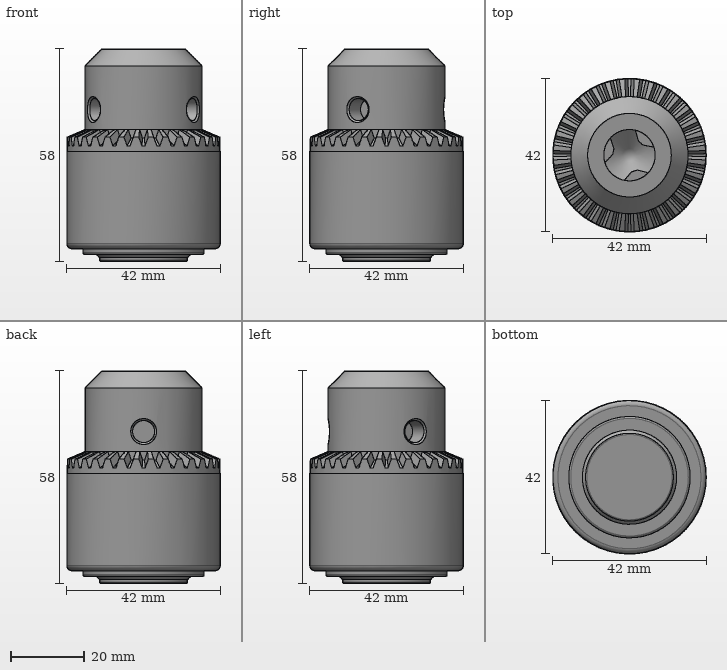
import cadquery as cq
import math

TOTAL_HEIGHT = 58.0

BODY_RADIUS = 16.0
SPIGOT_RADIUS = 14.0
NOSE_CHAMFER = 4.6
BORE_RADIUS = 7.0
BORE_DEPTH = 29.0
BORE_POINT_ANGLE = 118.0

FLANGE_RADIUS = 16.6
FLANGE_BOTTOM = 1.85
FLANGE_FILLET = 0.5
COLLAR_RADIUS = 12.0
COLLAR_TOP = 1.0
COLLAR_FILLET = 0.35

KEY_HOLE_COUNT = 3
KEY_HOLE_FIRST_ANGLE = 90.0
KEY_HOLE_HEIGHT = 41.45
KEY_HOLE_RADIUS = 3.0
KEY_HOLE_FLOOR_RADIUS = 9.0
KEY_HOLE_CHAMFER = 0.5

SLEEVE_RADIUS = 21.0
SLEEVE_BOTTOM = 3.4
SLEEVE_FILLET = 1.45
SLEEVE_SHOULDER = 30.05
GEAR_RADIUS = 20.9
GEAR_RIM_HEIGHT = 33.95
GEAR_TOP = 36.0
TOOTH_COUNT = 32
TOOTH_GAP_DEPTH = 2.4
OUTER_GAP_WIDTH = 2.6
OUTER_GAP_FLOOR = 0.8
INNER_GAP_WIDTH = 2.15
INNER_GAP_FLOOR = 0.5

JAW_COUNT = 3
JAW_FIRST_ANGLE = 47.5
JAW_WIDTH = 6.4
JAW_SIDE_LENGTH = 0.3
JAW_TIP_WIDTH = 1.6
JAW_TIP_FILLET = 1.0
JAW_TIP_RADIUS = 4.5


def cut_key_hole(body, angle):
    """Blind radial hole with a flat floor, chamfered evenly round its mouth."""
    axis = cq.Vector(math.cos(math.radians(angle)), math.sin(math.radians(angle)), 0)
    floor_center = axis * KEY_HOLE_FLOOR_RADIUS + cq.Vector(0, 0, KEY_HOLE_HEIGHT)
    mouth_center = axis * BODY_RADIUS + cq.Vector(0, 0, KEY_HOLE_HEIGHT)
    hole = cq.Solid.makeCylinder(KEY_HOLE_RADIUS, BODY_RADIUS, floor_center, axis)
    drilled = body.cut(cq.Workplane(hole))
    mouth = drilled.edges(cq.selectors.NearestToPointSelector(mouth_center.toTuple()))
    return mouth.chamfer(KEY_HOLE_CHAMFER)


def make_body():
    bore_floor = TOTAL_HEIGHT - BORE_DEPTH
    bore_point = bore_floor - BORE_RADIUS / math.tan(math.radians(BORE_POINT_ANGLE / 2))
    body = (
        cq.Workplane("XZ")
        .moveTo(0, SLEEVE_BOTTOM)
        .lineTo(SPIGOT_RADIUS, SLEEVE_BOTTOM)
        .lineTo(SPIGOT_RADIUS, GEAR_TOP)
        .lineTo(BODY_RADIUS, GEAR_TOP)
        .lineTo(BODY_RADIUS, TOTAL_HEIGHT - NOSE_CHAMFER)
        .lineTo(BODY_RADIUS - NOSE_CHAMFER, TOTAL_HEIGHT)
        .lineTo(BORE_RADIUS, TOTAL_HEIGHT)
        .lineTo(BORE_RADIUS, bore_floor)
        .lineTo(0, bore_point)
        .close()
        .revolve(360, (0, 0, 0), (0, 1, 0))
    )
    for i in range(KEY_HOLE_COUNT):
        body = cut_key_hole(body, KEY_HOLE_FIRST_ANGLE + i * 360 / KEY_HOLE_COUNT)
    return body


def make_end_cap():
    """Flange that closes the sleeve, flaring at 45 degrees from the rear collar."""
    neck_radius = COLLAR_RADIUS + FLANGE_BOTTOM - COLLAR_TOP
    return (
        cq.Workplane("XZ")
        .lineTo(COLLAR_RADIUS - COLLAR_FILLET, 0)
        .radiusArc((COLLAR_RADIUS, COLLAR_FILLET), -COLLAR_FILLET)
        .lineTo(COLLAR_RADIUS, COLLAR_TOP)
        .lineTo(neck_radius, FLANGE_BOTTOM)
        .lineTo(FLANGE_RADIUS - FLANGE_FILLET, FLANGE_BOTTOM)
        .radiusArc((FLANGE_RADIUS, FLANGE_BOTTOM + FLANGE_FILLET), -FLANGE_FILLET)
        .lineTo(FLANGE_RADIUS, SLEEVE_BOTTOM)
        .lineTo(0, SLEEVE_BOTTOM)
        .close()
        .revolve(360, (0, 0, 0), (0, 1, 0))
    )


TIP_SLOPE = (GEAR_TOP - GEAR_RIM_HEIGHT) / (GEAR_RADIUS - BODY_RADIUS)


def gap_section(radius, width, floor_width):
    """Trapezoid across a tooth gap at the given radius, open above the tooth tips."""
    tip = GEAR_TOP - (radius - BODY_RADIUS) * TIP_SLOPE
    floor = tip - TOOTH_GAP_DEPTH
    top = tip + TOOTH_GAP_DEPTH
    top_width = 2 * width - floor_width
    points = [
        cq.Vector(radius, -floor_width / 2, floor),
        cq.Vector(radius, floor_width / 2, floor),
        cq.Vector(radius, top_width / 2, top),
        cq.Vector(radius, -top_width / 2, top),
    ]
    return cq.Wire.makePolygon(points, close=True)


def make_tooth_gap():
    """Tool for one gap: runs out past the rim and ends in a round wall below the nose."""
    overrun = 0.1
    length = GEAR_RADIUS - BODY_RADIUS
    width_step = overrun * (OUTER_GAP_WIDTH - INNER_GAP_WIDTH)
    floor_step = overrun * (OUTER_GAP_FLOOR - INNER_GAP_FLOOR)
    inner = gap_section(BODY_RADIUS - overrun * length, INNER_GAP_WIDTH - width_step,
                        INNER_GAP_FLOOR - floor_step)
    outer = gap_section(GEAR_RADIUS + overrun * length, OUTER_GAP_WIDTH + width_step,
                        OUTER_GAP_FLOOR + floor_step)
    core = cq.Workplane("XY").circle(BODY_RADIUS).extrude(TOTAL_HEIGHT)
    return cq.Workplane(cq.Solid.makeLoft([inner, outer], True)).cut(core)


def make_sleeve():
    sleeve = (
        cq.Workplane("XZ")
        .moveTo(SPIGOT_RADIUS, SLEEVE_BOTTOM)
        .lineTo(SLEEVE_RADIUS - SLEEVE_FILLET, SLEEVE_BOTTOM)
        .radiusArc((SLEEVE_RADIUS, SLEEVE_BOTTOM + SLEEVE_FILLET), -SLEEVE_FILLET)
        .lineTo(SLEEVE_RADIUS, SLEEVE_SHOULDER)
        .lineTo(GEAR_RADIUS, SLEEVE_SHOULDER)
        .lineTo(GEAR_RADIUS, GEAR_RIM_HEIGHT)
        .lineTo(BODY_RADIUS, GEAR_TOP)
        .lineTo(SPIGOT_RADIUS, GEAR_TOP)
        .close()
        .revolve(360, (0, 0, 0), (0, 1, 0))
    )
    gap = make_tooth_gap()
    for i in range(TOOTH_COUNT):
        sleeve = sleeve.cut(gap.rotate((0, 0, 0), (0, 0, 1), i * 360 / TOOTH_COUNT))
    return sleeve


def make_jaw(angle):
    """Wedge-nosed bar that lies against the bore wall, flush with the nose."""
    half_width = JAW_WIDTH / 2
    half_tip = JAW_TIP_WIDTH / 2
    rim_radius = math.sqrt(BORE_RADIUS**2 - half_width**2)
    shoulder_radius = rim_radius - JAW_SIDE_LENGTH
    jaw = (
        cq.Workplane("XY", origin=(0, 0, TOTAL_HEIGHT - BORE_DEPTH))
        .moveTo(rim_radius, -half_width)
        .threePointArc((BORE_RADIUS, 0), (rim_radius, half_width))
        .lineTo(shoulder_radius, half_width)
        .lineTo(JAW_TIP_RADIUS, half_tip)
        .lineTo(JAW_TIP_RADIUS, -half_tip)
        .lineTo(shoulder_radius, -half_width)
        .close()
        .extrude(BORE_DEPTH)
        .faces("<X")
        .edges("|Z")
        .fillet(JAW_TIP_FILLET)
    )
    return jaw.rotate((0, 0, 0), (0, 0, 1), angle)


body = make_body()
sleeve = make_sleeve()
end_cap = make_end_cap()
jaws = [make_jaw(JAW_FIRST_ANGLE + i * 360 / JAW_COUNT) for i in range(JAW_COUNT)]

result = cq.Compound.makeCompound(
    [body.val(), sleeve.val(), end_cap.val(), *[jaw.val() for jaw in jaws]]
)